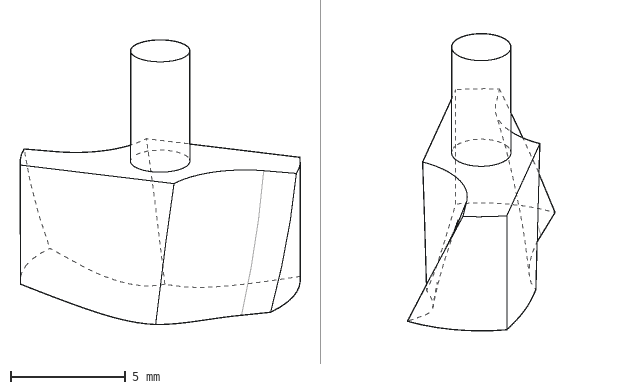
import cadquery as cq
import math

total_length = 12.7
body_top = 7.49
point_height = 1.87
cutter_diameter = 12.28
blade_thickness = 4.67
shank_diameter = 2.6

flute_edge_x = 6.13
flute_edge_y = 0.47
flute_tangent_x = 4.66
flute_tangent_y = 0.33
flute_radius = 3.78
twist_rate = 4.331
flute_overrun = 0.64
flute_outer_reach = 8.25

cutter_radius = cutter_diameter / 2


def make_blade():
    """Pointed round blank trimmed to two parallel flats."""
    blank = (
        cq.Workplane("XZ")
        .polyline([(0, 0), (cutter_radius, point_height), (cutter_radius, body_top), (0, body_top)])
        .close()
        .revolve(360, (0, 0, 0), (0, 1, 0))
    )
    slab = cq.Workplane("XY").box(
        cutter_diameter, blade_thickness, body_top, centered=(True, True, False)
    )
    return blank.intersect(slab)


def make_flute():
    """Twisted cutter: a straight cutting face running tangentially into a round gullet."""
    face_angle = math.atan2(flute_edge_y - flute_tangent_y, flute_edge_x - flute_tangent_x)
    center_x = flute_tangent_x + flute_radius * math.sin(face_angle)
    center_y = flute_tangent_y - flute_radius * math.cos(face_angle)
    arc_middle_angle = (math.pi / 2 + face_angle + math.pi) / 2
    arc_middle = (
        center_x + flute_radius * math.cos(arc_middle_angle),
        center_y + flute_radius * math.sin(arc_middle_angle),
    )
    outer_face_y = flute_edge_y + (flute_outer_reach - flute_edge_x) * math.tan(face_angle)

    flute_length = body_top + flute_overrun
    twist = twist_rate * flute_length
    return (
        cq.Workplane("XY")
        .moveTo(flute_outer_reach, outer_face_y)
        .lineTo(flute_tangent_x, flute_tangent_y)
        .threePointArc(arc_middle, (center_x - flute_radius, center_y))
        .lineTo(center_x - flute_radius, -flute_outer_reach)
        .lineTo(flute_outer_reach, -flute_outer_reach)
        .close()
        .twistExtrude(flute_length, twist)
        .rotate((0, 0, 0), (0, 0, 1), -twist)
        .translate((0, 0, -flute_overrun))
    )


blade = make_blade()
flute = make_flute()
for flute_angle in (0, 180):
    blade = blade.cut(flute.rotate((0, 0, 0), (0, 0, 1), flute_angle))

shank = (
    cq.Workplane("XY")
    .workplane(offset=body_top)
    .circle(shank_diameter / 2)
    .extrude(total_length - body_top)
)

result = blade.union(shank)